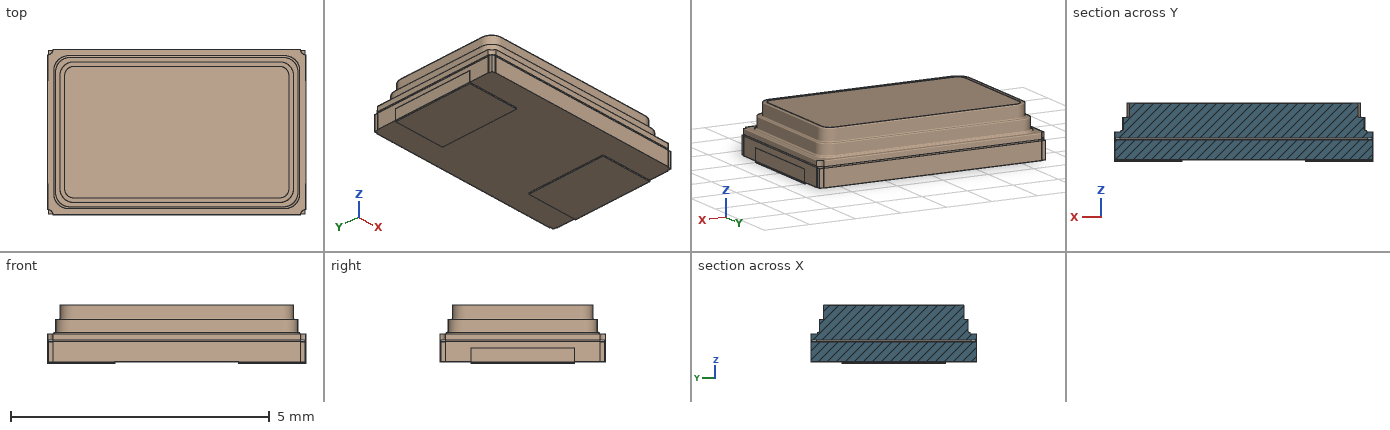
import cadquery as cq

LENGTH = 5.0
WIDTH = 3.2
HEIGHT = 1.13

PAD_LENGTH = 1.3
PAD_WIDTH = 2.0
PAD_THICKNESS = 0.03
PAD_WRAP_TOP = 0.295
PAD_WRAP_THICKNESS = 0.0025

BASE_LENGTH = LENGTH - 2 * PAD_WRAP_THICKNESS
BASE_TOP = 0.57
WALL = 0.0165
CORNER_NOTCH_RADIUS = 0.105
CORE_TOP = 0.42
GAP_HEIGHT = 0.03

SEAL_INSET = 0.12
SEAL_RADIUS = 0.29
SEAL_TOP = 0.6
RING_INSET = 0.155
RING_RADIUS = 0.28
RING_TOP = 0.85
LID_INSET = 0.24
LID_RADIUS = 0.265

STEP_ROUNDING = 0.0145

RECESS_INSET = 0.33
RECESS_RADIUS = LID_RADIUS - (RECESS_INSET - LID_INSET)
RECESS_DEPTH = 0.005


def block(inset, bottom, top):
    """Box centred on the part, inset from the base sides."""
    return (
        cq.Workplane("XY", origin=(0, 0, bottom))
        .rect(BASE_LENGTH - 2 * inset, WIDTH - 2 * inset)
        .extrude(top - bottom)
    )


def tier(inset, radius, bottom, top):
    """Block with rounded vertical edges."""
    return block(inset, bottom, top).edges("|Z").fillet(radius)


def make_stepped_body():
    """Base block with seal, ring and lid on top, every step rounded."""
    body = (
        block(0, PAD_THICKNESS, BASE_TOP)
        .union(tier(SEAL_INSET, SEAL_RADIUS, BASE_TOP, SEAL_TOP))
        .union(tier(RING_INSET, RING_RADIUS, SEAL_TOP, RING_TOP))
        .union(tier(LID_INSET, LID_RADIUS, RING_TOP, HEIGHT))
    )
    return body.edges("not |Z").edges("not <Z").fillet(STEP_ROUNDING)


def make_corner_notches():
    """Round cutters that leave quarter-round notches down the four corners of the base."""
    return (
        cq.Workplane("XY", origin=(0, 0, PAD_THICKNESS))
        .rect(BASE_LENGTH, WIDTH, forConstruction=True)
        .vertices()
        .circle(CORNER_NOTCH_RADIUS)
        .extrude(BASE_TOP - PAD_THICKNESS)
    )


def make_pads():
    """One terminal at each end: a foot under the base and a thin wrap on the end face."""
    foot_spacing = BASE_LENGTH - PAD_LENGTH
    feet = (
        cq.Workplane("XY")
        .rarray(foot_spacing, 0.05, 2, 1)
        .rect(PAD_LENGTH, PAD_WIDTH)
        .extrude(PAD_THICKNESS)
    )
    wrap_spacing = BASE_LENGTH + PAD_WRAP_THICKNESS
    wraps = (
        cq.Workplane("XY", origin=(0, 0, PAD_THICKNESS))
        .rarray(wrap_spacing, 0.05, 2, 1)
        .rect(PAD_WRAP_THICKNESS, PAD_WIDTH)
        .extrude(PAD_WRAP_TOP - PAD_THICKNESS)
    )
    return feet, wraps


feet, wraps = make_pads()
gap = block(WALL, CORE_TOP, CORE_TOP + GAP_HEIGHT)
core = block(WALL, PAD_THICKNESS, CORE_TOP)
lid_recess = tier(RECESS_INSET, RECESS_RADIUS, HEIGHT - RECESS_DEPTH, HEIGHT)

result = (
    make_stepped_body()
    .cut(make_corner_notches())
    .cut(gap)
    .union(core)
    .cut(lid_recess)
    .union(feet)
    .union(wraps)
)